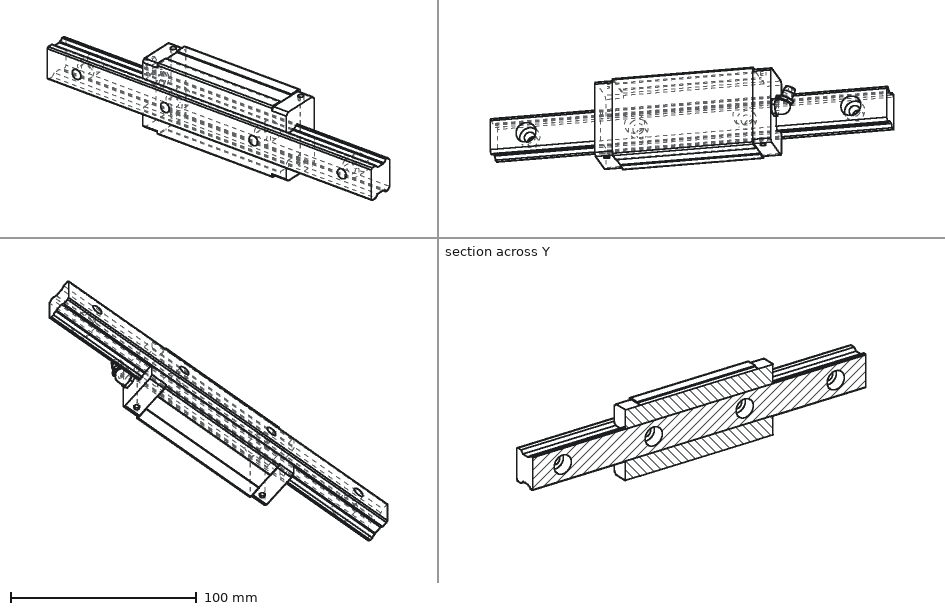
import cadquery as cq
import math


RAIL_LENGTH = 220.0
RAIL_HEIGHT = 16.5
RAIL_WIDTH = 20.0
RAIL_WAIST_WIDTH = 16.5
RAIL_BOTTOM_CHAMFER = 0.9
FOOT_TOP = 4.2
WAIST_BOTTOM = 6.0
RACEWAY_BOTTOM = 11.0
RACEWAY_LIP = 0.5
RACEWAY_TOP = 13.0
HEAD_SHOULDER = 14.7
RAIL_TOP_WIDTH = RAIL_WAIST_WIDTH

HOLE_COUNT = 4
HOLE_PITCH = 60.0
HOLE_DIAMETER = 6.0
COUNTERBORE_DIAMETER = 11.0
COUNTERBORE_DEPTH = 8.5

CARRIAGE_TOP = 30.0
CARRIAGE_BOTTOM = 4.6
BLOCK_LENGTH = 77.9
BLOCK_WIDTH = 44.0
BLOCK_CHAMFER = 1.0
CAP_LENGTH = 10.0
CAP_TOP_INSET = 0.5
CAP_SIDE_INSET = 0.77
CAP_CHAMFER = 1.8
SIDE_RECESS_DEPTH = 0.7
SIDE_RECESS_BOTTOM = 12.0
SIDE_RECESS_TOP = 22.0
OIL_HOLE_DIAMETER = 3.0
OIL_HOLE_DEPTH = 2.2
OIL_HOLE_Y = 24.6
OIL_HOLE_X = 43.3

HEX_SIDES = 6
NIPPLE_Y = 23.5
NIPPLE_TILT = 22.5
BASE_ACROSS_FLATS = 8.4
BASE_THICKNESS = 1.8
ELBOW_RADIUS = 4.0
ELBOW_REACH = 3.5
COLLAR_ACROSS_FLATS = 7.7

COLLAR_START = 3.0
COLLAR_END = 4.8
HEAD_START = 6.8
HEAD_BULGE = 8.4
ARM_LENGTH = 11.2

NECK_RADIUS = 2.9
HEAD_RADIUS = 3.3
TIP_RADIUS = 2.6
TIP_HOLE_RADIUS = 1.0
TIP_HOLE_DEPTH = 1.0

CAP_FACE_X = BLOCK_LENGTH / 2 + CAP_LENGTH


def along_x(length):
    """Workplane for a (Z, Y) outline that is extruded toward -X, centred on X = 0."""
    plane = cq.Plane(origin=(length / 2, 0, 0), xDir=(0, 0, 1), normal=(-1, 0, 0))
    return cq.Workplane(plane)


def rail_bar():
    """Solid bar with the rail's cross-section, without mounting holes."""
    half_width = RAIL_WIDTH / 2
    half_waist = RAIL_WAIST_WIDTH / 2
    raceway_floor = half_waist + RACEWAY_LIP
    bend = math.sin(math.radians(45))
    raceway_middle = (
        half_width - (half_width - raceway_floor) * bend,
        RACEWAY_BOTTOM + (RACEWAY_TOP - RACEWAY_BOTTOM) * bend,
    )
    half = (
        along_x(RAIL_LENGTH)
        .moveTo(0, 0)
        .lineTo(half_width - RAIL_BOTTOM_CHAMFER, 0)
        .lineTo(half_width, RAIL_BOTTOM_CHAMFER)
        .lineTo(half_width, FOOT_TOP)
        .lineTo(half_waist, WAIST_BOTTOM)
        .lineTo(half_waist, RACEWAY_BOTTOM - RACEWAY_LIP)
        .lineTo(raceway_floor, RACEWAY_BOTTOM)
        .threePointArc(raceway_middle, (half_width, RACEWAY_TOP))
        .lineTo(half_width, HEAD_SHOULDER)
        .lineTo(RAIL_TOP_WIDTH / 2, RAIL_HEIGHT)
        .lineTo(0, RAIL_HEIGHT)
        .close()
        .extrude(RAIL_LENGTH)
    )
    return half.union(half.mirror("XY")).clean()


def make_rail():
    """Rail with its row of counterbored mounting holes."""
    rail = rail_bar()
    first_x = -HOLE_PITCH * (HOLE_COUNT - 1) / 2
    down = cq.Vector(0, -1, 0)
    for index in range(HOLE_COUNT):
        top = cq.Vector(first_x + index * HOLE_PITCH, RAIL_HEIGHT, 0)
        rail = rail.cut(cq.Solid.makeCylinder(HOLE_DIAMETER / 2, RAIL_HEIGHT, top, down))
        rail = rail.cut(cq.Solid.makeCylinder(COUNTERBORE_DIAMETER / 2, COUNTERBORE_DEPTH, top, down))
    return rail


def chamfered_bar(length, width, top, chamfer):
    """Bar along X from the carriage's bottom to the given top, its long edges chamfered."""
    return (
        along_x(length)
        .center(0, (top + CARRIAGE_BOTTOM) / 2)
        .rect(width, top - CARRIAGE_BOTTOM)
        .extrude(length)
        .edges("|X")
        .chamfer(chamfer)
    )


def make_carriage():
    """Carriage: middle block with side recesses, an end cap on each end, and the rail channel."""
    block = chamfered_bar(BLOCK_LENGTH, BLOCK_WIDTH, CARRIAGE_TOP, BLOCK_CHAMFER)
    recess_middle = (SIDE_RECESS_TOP + SIDE_RECESS_BOTTOM) / 2
    recess_height = SIDE_RECESS_TOP - SIDE_RECESS_BOTTOM
    recess_tool = cq.Workplane().box(BLOCK_LENGTH, recess_height, 2 * SIDE_RECESS_DEPTH)
    for side in (-1, 1):
        block = block.cut(recess_tool.translate((0, recess_middle, side * BLOCK_WIDTH / 2)))

    cap_width = BLOCK_WIDTH - 2 * CAP_SIDE_INSET
    cap = chamfered_bar(CAP_LENGTH, cap_width, CARRIAGE_TOP - CAP_TOP_INSET, CAP_CHAMFER)
    cap_x = (BLOCK_LENGTH + CAP_LENGTH) / 2
    carriage = block
    for end in (-1, 1):
        carriage = carriage.union(cap.translate((end * cap_x, 0, 0)))

    for end in (-1, 1):
        for side in (-1, 1):
            mouth = cq.Vector(end * OIL_HOLE_X, OIL_HOLE_Y, side * cap_width / 2)
            inward = cq.Vector(0, 0, -side)
            oil_hole = cq.Solid.makeCylinder(OIL_HOLE_DIAMETER / 2, OIL_HOLE_DEPTH, mouth, inward)
            carriage = carriage.cut(oil_hole)
    return carriage.cut(rail_bar())


def hexagon(plane, across_flats, thickness):
    """Hexagonal prism with two corners on the plane's local X axis."""
    across_corners = across_flats / math.cos(math.pi / HEX_SIDES)
    return cq.Workplane(plane).polygon(HEX_SIDES, across_corners).extrude(thickness)


def nipple_arm():
    """Upright arm from Z = 0: round neck, hexagonal collar and coned head with a blind hole."""
    arm = (
        cq.Workplane("XZ")
        .lineTo(NECK_RADIUS, 0)
        .lineTo(NECK_RADIUS, HEAD_START)
        .lineTo(HEAD_RADIUS, HEAD_BULGE)
        .lineTo(TIP_RADIUS, ARM_LENGTH)
        .lineTo(TIP_HOLE_RADIUS, ARM_LENGTH)
        .lineTo(TIP_HOLE_RADIUS, ARM_LENGTH - TIP_HOLE_DEPTH)
        .lineTo(0, ARM_LENGTH - TIP_HOLE_DEPTH)
        .close()
        .revolve(360, (0, 0), (0, 1))
    )
    collar_plane = cq.Plane(origin=(0, 0, COLLAR_START))
    return arm.union(hexagon(collar_plane, COLLAR_ACROSS_FLATS, COLLAR_END - COLLAR_START))


def make_nipple():
    """Grease nipple: hexagonal base against the end cap, ball elbow and tilted arm."""
    base_plane = cq.Plane(origin=(-CAP_FACE_X, NIPPLE_Y, 0), xDir=(0, 1, 0), normal=(-1, 0, 0))
    base = hexagon(base_plane, BASE_ACROSS_FLATS, BASE_THICKNESS)
    stem = base.faces("<X").workplane().circle(ELBOW_RADIUS).extrude(ELBOW_REACH)

    elbow_x = -CAP_FACE_X - BASE_THICKNESS - ELBOW_REACH
    tilted_arm = nipple_arm().rotate((0, 0, 0), (0, 1, 0), -NIPPLE_TILT)
    elbow = cq.Workplane().sphere(ELBOW_RADIUS).union(tilted_arm)
    return stem.union(elbow.translate((elbow_x, NIPPLE_Y, 0)))


rail = make_rail()
carriage = make_carriage()
nipple = make_nipple()

result = cq.Compound.makeCompound([rail.val(), carriage.val(), nipple.val()])